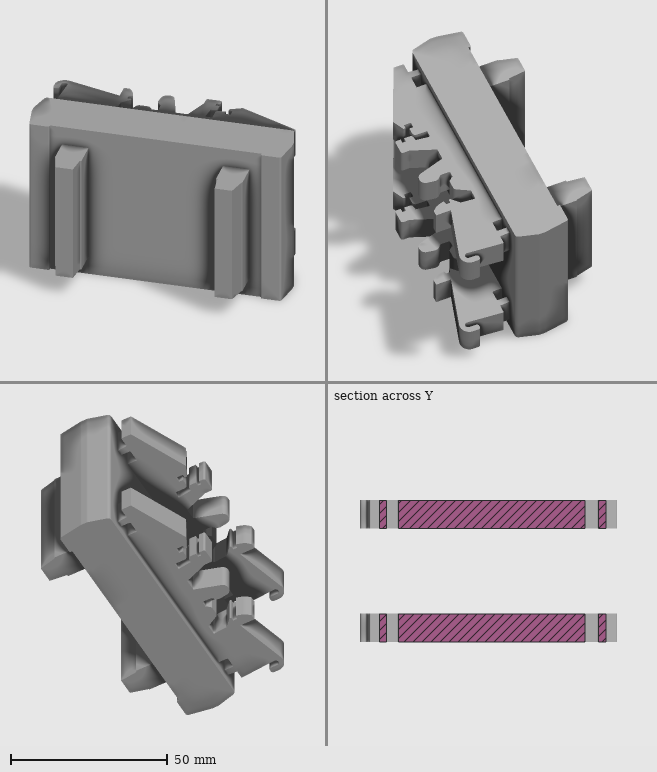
import cadquery as cq
import math


body_length = 86.5
body_height = 52.8
rear_half_length = 41.3
rim_half_length = 41.8
side_flat_rear = -7.3
side_flat_front = -9.5
side_flat_radius = 1.7
panel_y = -17.2
rim_y = -18.2
rim_inner_x = 35.1
rear_corner_radius = 1.2
rim_corner_radius = 0.8
rim_inner_radius = 0.35

leg_height = 40.0
leg_inner_x = 22.3
leg_outer_x = 31.1
leg_shoulder_y = -25.95
leg_tip_y = -32.0
leg_inner_shoulder = 0.5
leg_outer_shoulder = 0.3
leg_inner_taper = 0.7
leg_outer_taper = 1.6

clip_thickness = 9.2
clip_edge_gap = 3.6
clip_top = 18.7
bar_underside = 3.4
low_floor = 4.4
high_floor = 7.5
floor_radius = 0.4
small_radius = 0.3
latch_left_x = -20.3
shoulder_left_x = 12.0


def rounded_outline(points):
    """Closed wire through (x, y) or (x, y, radius) corners, rounded where a radius is given."""
    starts, arcs, ends = [], [], []
    for i, point in enumerate(points):
        corner = cq.Vector(point[0], point[1])
        if len(point) == 2:
            starts.append(corner)
            arcs.append(None)
            ends.append(corner)
            continue
        radius = point[2]
        before = points[i - 1]
        after = points[(i + 1) % len(points)]
        back = (cq.Vector(before[0], before[1]) - corner).normalized()
        ahead = (cq.Vector(after[0], after[1]) - corner).normalized()
        half_angle = back.getAngle(ahead) / 2
        setback = radius / math.tan(half_angle)
        to_arc = radius / math.sin(half_angle) - radius
        starts.append(corner + back * setback)
        arcs.append(corner + (back + ahead).normalized() * to_arc)
        ends.append(corner + ahead * setback)

    outline = cq.Workplane("XY").moveTo(ends[-1].x, ends[-1].y)
    for start, arc, end in zip(starts, arcs, ends):
        outline = outline.lineTo(start.x, start.y)
        if arc is not None:
            outline = outline.threePointArc((arc.x, arc.y), (end.x, end.y))
    return outline.close()


def prism(points, height):
    """Outline extruded to the given height, centred on Z = 0."""
    return rounded_outline(points).extrude(height / 2, both=True)


def make_body():
    half_length = body_length / 2
    right_end = [
        (rim_inner_x, panel_y),
        (rim_inner_x, rim_y, rim_inner_radius),
        (rim_half_length, rim_y, rim_corner_radius),
        (half_length, side_flat_front, side_flat_radius),
        (half_length, side_flat_rear, side_flat_radius),
        (rear_half_length, 0, rear_corner_radius),
    ]
    left_end = [(-x, *rest) for x, *rest in reversed(right_end)]
    return prism(right_end + left_end, body_height)


def make_leg():
    shoulder_inner = leg_inner_x + leg_inner_shoulder
    shoulder_outer = leg_outer_x - leg_outer_shoulder
    return prism(
        [
            (leg_inner_x, panel_y),
            (leg_inner_x, leg_shoulder_y),
            (shoulder_inner, leg_shoulder_y),
            (shoulder_inner + leg_inner_taper, leg_tip_y),
            (shoulder_outer - leg_outer_taper, leg_tip_y),
            (shoulder_outer, leg_shoulder_y),
            (leg_outer_x, leg_shoulder_y),
            (leg_outer_x, panel_y),
        ],
        leg_height,
    )


def hook_section():
    """Curled hook at the left end and the slope falling from it to the latch."""
    hook_outer_x = -42.4
    hook_inner_x = -40.3
    hook_tip_y = 12.8
    hook_tip_radius = 0.9
    curl_apex_y = 19.7
    curl_radius = 3.3
    slot_wall_x = -38.2
    slot_top_y = 16.9
    slot_radius = 0.95
    block_left_x = -39.4
    slope_end_y = 13.5
    return [
        (block_left_x, bar_underside, small_radius),
        (slot_wall_x, slot_top_y, slot_radius),
        (hook_inner_x, slot_top_y, slot_radius),
        (hook_inner_x, hook_tip_y, hook_tip_radius),
        (hook_outer_x, hook_tip_y, hook_tip_radius),
        (hook_outer_x, curl_apex_y, curl_radius),
        (latch_left_x, slope_end_y),
    ]


def latch_section():
    """Latch with a curved nose and a small notch, then the low pocket."""
    latch_crest_x = -18.4
    nose_bulge_x = -16.95
    nose_bulge_y = 17.0
    nose_bulge_radius = 3.5
    nose_x = -16.1
    nose_y = 14.3
    notch_x = -17.5
    notch_top = 13.8
    notch_bottom = 12.45
    jaw_y = 11.85
    throat = (-18.8, 9.3)
    pocket_left_x = -19.2
    pocket_right_x = -15.65
    return [
        (latch_left_x, clip_top),
        (latch_crest_x, clip_top),
        (nose_bulge_x, nose_bulge_y, nose_bulge_radius),
        (nose_x, nose_y),
        (notch_x, notch_top),
        (notch_x, notch_bottom),
        (nose_x, notch_bottom, small_radius),
        (nose_x, jaw_y, small_radius),
        throat,
        (pocket_left_x, low_floor, floor_radius),
        (pocket_right_x, low_floor),
    ]


def hump_section():
    """Low flat-topped hump between the low pocket and the finger."""
    hump_top = 9.2
    hump_left_x = -13.0
    hump_right_x = -9.4
    hump_left_radius = 1.2
    hump_foot_x = -8.2
    hump_foot_y = 7.9
    return [
        (hump_left_x, hump_top, hump_left_radius),
        (hump_right_x, hump_top, floor_radius),
        (hump_foot_x, hump_foot_y),
        (hump_foot_x, high_floor),
    ]


def finger_section():
    """Round-topped finger with a bulge on its left side."""
    finger_top = 17.7
    finger_radius = 2.1
    neck_x = -6.0
    neck_y = 10.8
    bulge_lower = (-7.3, 12.1, floor_radius)
    bulge_upper = (-7.5, 13.15, floor_radius)
    top_left_x = -6.8
    top_right_x = -3.3
    right_foot_x = -0.1
    return [
        (neck_x, high_floor, floor_radius),
        (neck_x, neck_y),
        bulge_lower,
        bulge_upper,
        (top_left_x, finger_top, finger_radius),
        (top_right_x, finger_top, finger_radius),
        (right_foot_x, high_floor, floor_radius),
    ]


def post_section():
    """Leaning post with a notched head, then the narrow pocket."""
    post_foot_x = 3.9
    head_left_x = 7.1
    head_left_y = 15.8
    head_right_x = 12.4
    head_radius = 0.7
    notch_x = 11.0
    notch_top = 16.6
    notch_bottom = 15.4
    chin_y = 12.6
    chin_radius = 0.9
    neck_x = 10.2
    neck_y = 12.3
    pocket_left_x = 9.6
    return [
        (post_foot_x, high_floor),
        (head_left_x, head_left_y),
        (head_left_x, clip_top, head_radius),
        (head_right_x, clip_top, head_radius),
        (head_right_x, notch_top),
        (notch_x, notch_top),
        (notch_x, notch_bottom),
        (head_right_x, notch_bottom),
        (head_right_x, chin_y, chin_radius),
        (neck_x, neck_y),
        (pocket_left_x, high_floor, floor_radius),
        (shoulder_left_x, high_floor),
    ]


def ramp_section():
    """Rounded shoulder, undercut slot and the long ramp down to the right end."""
    shoulder_top = 12.3
    shoulder_radius = 1.2
    slot_left_x = 15.3
    slot_right_x = 17.2
    slot_floor = 10.9
    lip_x = 15.9
    lip_bottom = 13.3
    lip_top = 14.1
    peak = (19.9, 16.0)
    ramp_end_x = 39.9
    ramp_end_y = 6.9
    return [
        (shoulder_left_x, shoulder_top, shoulder_radius),
        (slot_left_x, shoulder_top),
        (slot_left_x, slot_floor),
        (slot_right_x, slot_floor),
        (slot_right_x, lip_bottom),
        (lip_x, lip_bottom),
        (lip_x, lip_top),
        peak,
        (ramp_end_x, ramp_end_y),
        (ramp_end_x, bar_underside, small_radius),
    ]


def underside_section():
    """Stems and the two windows between the cross bar and the body, right to left."""
    right_stem_top_x = 36.3
    right_stem_foot_x = 36.0
    right_window_min_x = 29.6
    right_window_max_x = 33.9
    left_window_min_x = -34.0
    left_window_max_x = -30.2
    left_stem_foot_x = -36.2
    left_stem_top_x = -36.4
    return [
        (right_stem_top_x, bar_underside),
        (right_stem_foot_x, 0),
        (right_window_max_x, 0),
        (right_window_max_x, bar_underside, floor_radius),
        (right_window_min_x, bar_underside),
        (right_window_min_x, 0),
        (left_window_max_x, 0),
        (left_window_max_x, bar_underside, floor_radius),
        (left_window_min_x, bar_underside, small_radius),
        (left_window_min_x, 0),
        (left_stem_foot_x, 0),
        (left_stem_top_x, bar_underside),
    ]


def make_clip():
    outline = (
        hook_section()
        + latch_section()
        + hump_section()
        + finger_section()
        + post_section()
        + ramp_section()
        + underside_section()
    )
    return prism(outline, clip_thickness)


leg = make_leg()
clip = make_clip()
clip_z = body_height / 2 - clip_edge_gap - clip_thickness / 2

result = make_body().union(leg).union(leg.mirror("YZ"))
for z in (-clip_z, clip_z):
    result = result.union(clip.translate((0, 0, z)))